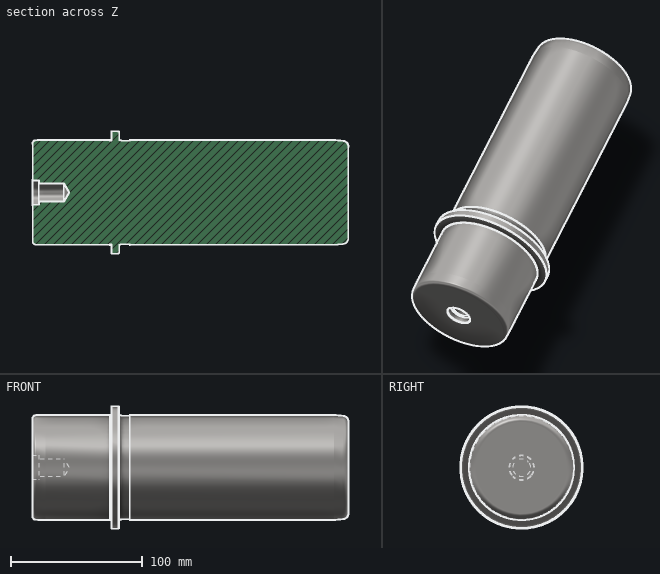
import cadquery as cq
import math

length = 240.0
body_radius = length / 6
flange_radius = 46.5

flange_start = 60.0
flange_end = 66.0
flange_front_chamfer = 0.2
flange_rear_chamfer = 0.7
groove_radius = 39.4
front_groove_start = 58.5
front_groove_fillet = 1.2
rear_shoulder_end = 68.2
rear_groove_end = 74.0

front_fillet = 3.0
front_lead_end = 9.8
front_lead_radius = 39.8
rear_lead_start = 228.7
rear_lead_end = 235.2
rear_lead_end_radius = 39.4

counterbore_radius = 9.0
counterbore_depth = 5.0
counterbore_chamfer = 0.5
bore_radius = 6.7
bore_depth = 24.0
drill_tip_angle = 120.0


def corner_point(center_x, center_r, radius, x_side, r_side):
    """Middle of a quarter arc, on the given side of its centre."""
    offset = radius * math.sqrt(0.5)
    return (center_x + x_side * offset, center_r + r_side * offset)


def make_body():
    """Revolved outside: front body, flange between grooves, rear body; both ends taper slightly."""
    front_face_radius = front_lead_radius - front_fillet
    rear_fillet = length - rear_lead_end
    rear_face_radius = rear_lead_end_radius - rear_fillet
    front_arc = corner_point(front_fillet, front_face_radius, front_fillet, -1, 1)
    front_groove_arc = corner_point(
        flange_start - front_groove_fillet, groove_radius + front_groove_fillet, front_groove_fillet, 1, -1
    )
    rear_arc = corner_point(rear_lead_end, rear_face_radius, rear_fillet, 1, 1)
    profile = (
        cq.Workplane("XY")
        .lineTo(0, front_face_radius)
        .threePointArc(front_arc, (front_fillet, front_lead_radius))
        .lineTo(front_lead_end, body_radius)
        .lineTo(front_groove_start, body_radius)
        .lineTo(front_groove_start, groove_radius)
        .lineTo(flange_start - front_groove_fillet, groove_radius)
        .threePointArc(front_groove_arc, (flange_start, groove_radius + front_groove_fillet))
        .lineTo(flange_start, flange_radius - flange_front_chamfer)
        .lineTo(flange_start + flange_front_chamfer, flange_radius)
        .lineTo(flange_end - flange_rear_chamfer, flange_radius)
        .lineTo(flange_end, flange_radius - flange_rear_chamfer)
        .lineTo(flange_end, body_radius)
        .lineTo(rear_shoulder_end, groove_radius)
        .lineTo(rear_groove_end, groove_radius)
        .lineTo(rear_groove_end, body_radius)
        .lineTo(rear_lead_start, body_radius)
        .lineTo(rear_lead_end, rear_lead_end_radius)
        .threePointArc(rear_arc, (length, rear_face_radius))
        .lineTo(length, 0)
        .close()
    )
    return profile.revolve(360, (0, 0, 0), (1, 0, 0))


def make_hole():
    """Revolved hole: chamfered counterbore, bore and conical drill tip."""
    tip_depth = bore_radius / math.tan(math.radians(drill_tip_angle / 2))
    profile = (
        cq.Workplane("XY")
        .lineTo(0, counterbore_radius + counterbore_chamfer)
        .lineTo(counterbore_chamfer, counterbore_radius)
        .lineTo(counterbore_depth, counterbore_radius)
        .lineTo(counterbore_depth, bore_radius)
        .lineTo(bore_depth, bore_radius)
        .lineTo(bore_depth + tip_depth, 0)
        .close()
    )
    return profile.revolve(360, (0, 0, 0), (1, 0, 0))


result = make_body().cut(make_hole())